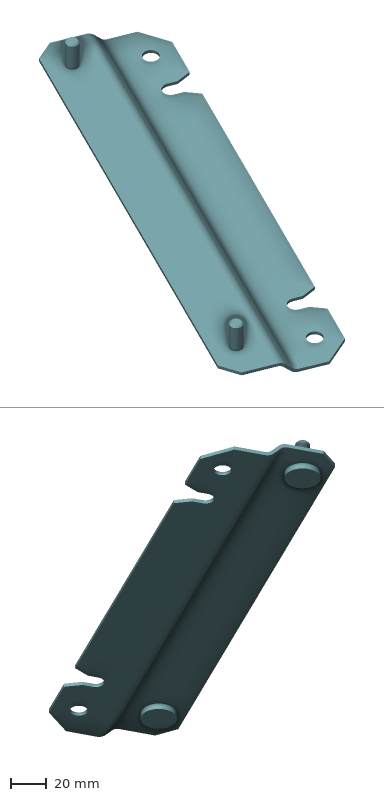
import cadquery as cq
import math

plate_length = 300.0
plate_width = 77.5
sheet_thickness = 2.0
shelf_offset = 7.8
bend_angle = 45.0
bend_inner_radius = 5.0
bend_start = 31.5
front_corner = 10.2
rear_corner = 15.0

hole_inset_x = 22.0
hole_inset_y = 15.3
mounting_hole_diameter = 10.0

notch_inset_x = 52.2
notch_width = 10.0
notch_mouth_width = 19.8
notch_mouth_depth = 9.0
notch_depth = 20.0

total_height = 27.5
stud_diameter = 8.0
stud_chamfer = 1.0
head_diameter = 20.0
head_thickness = 3.5

half_length = plate_length / 2
front_y = -plate_width / 2
rear_y = plate_width / 2
bend_outer_radius = bend_inner_radius + sheet_thickness
shelf_top = shelf_offset + sheet_thickness
hole_x = half_length - hole_inset_x
notch_x = half_length - notch_inset_x


def bent_sheet():
    """Sweep the offset-bent side profile along X."""
    angle = math.radians(bend_angle)
    drop_per_radius = 1 - math.cos(angle)
    bends_drop = (bend_inner_radius + bend_outer_radius) * drop_per_radius
    slope_drop = shelf_offset - bends_drop
    slope_run = slope_drop / math.tan(angle)

    bend_run = (bend_inner_radius + bend_outer_radius) * math.sin(angle)
    upper_y = front_y + bend_start
    lower_y = upper_y + bend_run + slope_run
    upper_center_z = shelf_top - bend_outer_radius
    lower_center_z = bend_outer_radius

    def upper_point(radius, turn):
        return upper_y + radius * math.sin(turn), upper_center_z + radius * math.cos(turn)

    def lower_point(radius, turn):
        return lower_y - radius * math.sin(turn), lower_center_z - radius * math.cos(turn)

    profile = (
        cq.Workplane("YZ")
        .moveTo(front_y, shelf_top)
        .lineTo(upper_y, shelf_top)
        .threePointArc(upper_point(bend_outer_radius, angle / 2), upper_point(bend_outer_radius, angle))
        .lineTo(*lower_point(bend_inner_radius, angle))
        .threePointArc(lower_point(bend_inner_radius, angle / 2), lower_point(bend_inner_radius, 0))
        .lineTo(rear_y, sheet_thickness)
        .lineTo(rear_y, 0)
        .lineTo(lower_y, 0)
        .threePointArc(lower_point(bend_outer_radius, angle / 2), lower_point(bend_outer_radius, angle))
        .lineTo(*upper_point(bend_inner_radius, angle))
        .threePointArc(upper_point(bend_inner_radius, angle / 2), upper_point(bend_inner_radius, 0))
        .lineTo(front_y, shelf_offset)
        .close()
    )
    return profile.extrude(half_length, both=True)


def plan_blank():
    """Flat outline with the four corners cut off."""
    return (
        cq.Workplane("XY")
        .polyline([
            (-half_length + front_corner, front_y),
            (half_length - front_corner, front_y),
            (half_length, front_y + front_corner),
            (half_length, rear_y - rear_corner),
            (half_length - rear_corner, rear_y),
            (-half_length + rear_corner, rear_y),
            (-half_length, rear_y - rear_corner),
            (-half_length, front_y + front_corner),
        ])
        .close()
        .extrude(shelf_top)
    )


def notch_cutter(center_x):
    """Round-ended slot with a flared mouth at the rear edge."""
    half_slot = notch_width / 2
    half_mouth = notch_mouth_width / 2
    mouth_y = rear_y - notch_mouth_depth
    bottom_y = rear_y - notch_depth
    round_y = bottom_y + half_slot
    return (
        cq.Workplane("XY")
        .moveTo(center_x - half_mouth, rear_y)
        .lineTo(center_x - half_slot, mouth_y)
        .lineTo(center_x - half_slot, round_y)
        .threePointArc((center_x, bottom_y), (center_x + half_slot, round_y))
        .lineTo(center_x + half_slot, mouth_y)
        .lineTo(center_x + half_mouth, rear_y)
        .close()
        .extrude(shelf_top)
    )


def hole_cutter(center_x, center_y, diameter):
    return cq.Workplane("XY").center(center_x, center_y).circle(diameter / 2).extrude(shelf_top)


def make_plate():
    plate = bent_sheet().intersect(plan_blank())
    for side in (-1, 1):
        plate = plate.cut(notch_cutter(side * notch_x))
        plate = plate.cut(hole_cutter(side * hole_x, rear_y - hole_inset_y, mounting_hole_diameter))
        plate = plate.cut(hole_cutter(side * hole_x, front_y + hole_inset_y, stud_diameter))
    return plate


def make_stud(center_x):
    """Stud through the front shelf, its flat round head against the underside."""
    base = cq.Workplane("XY", origin=(center_x, front_y + hole_inset_y, shelf_offset))
    shank = base.circle(stud_diameter / 2).extrude(total_height - shelf_offset)
    shank = shank.faces(">Z").chamfer(stud_chamfer)
    head = base.circle(head_diameter / 2).extrude(-head_thickness)
    return shank.union(head)


plate = make_plate()
studs = [make_stud(side * hole_x) for side in (-1, 1)]

result = cq.Compound.makeCompound([plate.val(), *[stud.val() for stud in studs]])